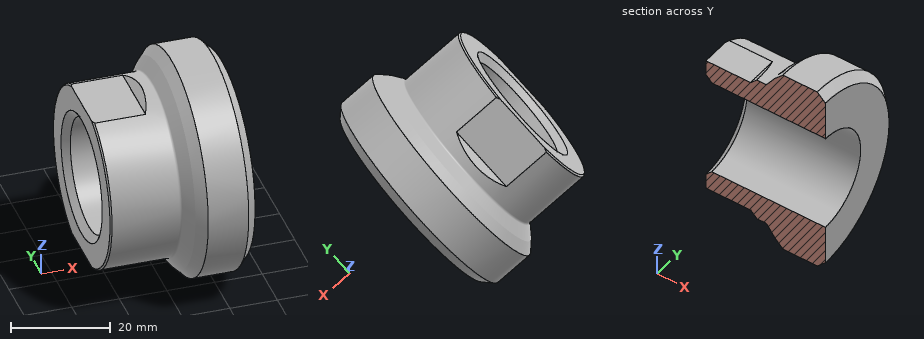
import cadquery as cq
import math

total_length = 29.5
rim_radius = 47.7 / 2
rim_chamfer = 2.0
rim_start = 19.0

hub_radius = 38.0 / 2
hub_length = 14.9
hub_chamfer = 0.35
root_fillet = 0.55

bore_radius = 24.15 / 2
bore_chamfer = 1.5

flat_spacing = 34.9
flat_length = 11.0


def make_body():
    """Revolve the solid outline of hub, shoulder and rim."""
    cone_start = (hub_length, hub_radius)
    cone_end = (rim_start - rim_chamfer, rim_radius - rim_chamfer)
    cone_angle = math.atan2(cone_end[1] - cone_start[1], cone_end[0] - cone_start[0])
    tangent_length = root_fillet * math.tan(cone_angle / 2)
    fillet_end = (
        hub_length + tangent_length * math.cos(cone_angle),
        hub_radius + tangent_length * math.sin(cone_angle),
    )
    outline = (
        cq.Workplane("XY")
        .lineTo(0, hub_radius - hub_chamfer)
        .lineTo(hub_chamfer, hub_radius)
        .lineTo(hub_length - tangent_length, hub_radius)
        .tangentArcPoint(fillet_end, relative=False)
        .lineTo(*cone_end)
        .lineTo(rim_start, rim_radius)
        .lineTo(total_length - rim_chamfer, rim_radius)
        .lineTo(total_length, rim_radius - rim_chamfer)
        .lineTo(total_length, 0)
        .close()
    )
    return outline.revolve(360, (0, 0, 0), (1, 0, 0))


def make_bore():
    """Revolve the bore together with its entry chamfer."""
    outline = [
        (0, 0),
        (0, bore_radius + bore_chamfer),
        (bore_chamfer, bore_radius),
        (total_length, bore_radius),
        (total_length, 0),
    ]
    return cq.Workplane("XY").polyline(outline).close().revolve(360, (0, 0, 0), (1, 0, 0))


def make_flat_cutter():
    """Prism removing the hub above the upper flat, with a sloped end."""
    flat_height = flat_spacing / 2
    flat_depth = hub_radius - flat_height
    outline = [
        (0, flat_height),
        (flat_length, flat_height),
        (flat_length + flat_depth, hub_radius),
        (0, hub_radius),
    ]
    return cq.Workplane("XZ").polyline(outline).close().extrude(hub_radius, both=True)


result = make_body().cut(make_bore())
for turn in (0, 180):
    result = result.cut(make_flat_cutter().rotate((0, 0, 0), (1, 0, 0), turn))